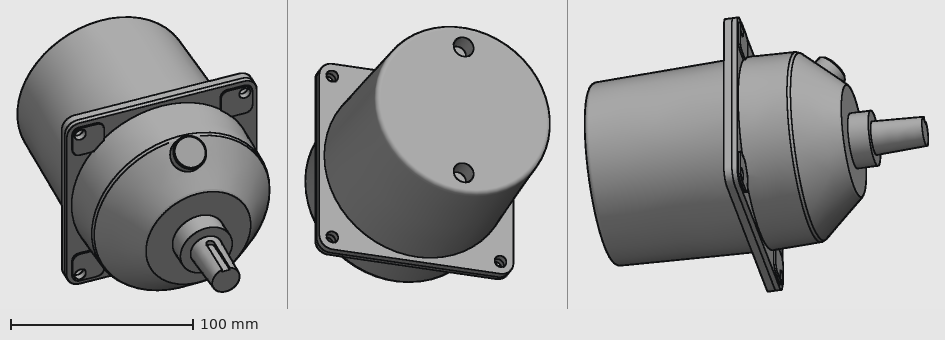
import cadquery as cq
import math

flange_back = 80.1
seam = 84.6
flange_front = 87.5
barrel_end = 114.7
cone_start = 116.5
cone_end = 139.5
nose_face = 140.4
collar_end = 152.0
shaft_end = 180.5

back_radius = 50.7
flange_body_radius = 53.5
barrel_end_radius = 52.7
cone_start_radius = 52.0
cone_end_radius = 32.1
nose_radius = 31.0
collar_radius = 15.3
shaft_root_radius = 9.4
shaft_tip_radius = 8.1
back_fillet = 2.7

flange_size = 112.4
flange_corner = 7.5
bolt_offset = 48.7
bolt_diameter = 6.7

pad_inner = 34.6
pad_outer = 53.2
pad_height = 1.0
pad_corner = 4.3

back_hole_offset = 38.0
back_hole_radius = 5.8
back_hole_floor_radius = 5.0
back_hole_depth = 10.8

plug_radius = 9.4
plug_chamfer = 0.7
plug_top_x = 128.5
plug_top_z = 51.2
plug_length = 10.8
cone_angle = math.atan2(cone_start_radius - cone_end_radius, cone_end - cone_start)

key_start = 155.7
key_width = 4.5
key_floor = 6.5


def revolve_about_x(profile):
    """Revolve a list of (x, radius) points into a solid."""
    return cq.Workplane("XY").polyline(profile).close().revolve(360, (0, 0, 0), (1, 0, 0))


def flange(x_start, x_end):
    """Rounded square plate across the shaft axis."""
    plate = cq.Workplane("YZ", origin=(x_start, 0, 0)).rect(flange_size, flange_size)
    return plate.extrude(x_end - x_start).edges("|X").fillet(flange_corner)


def drill_bolt_holes(body):
    """Drill the four corner holes along X, right through the body's flange and pads."""
    spacing = 2 * bolt_offset
    drills = (
        cq.Workplane("YZ", origin=(flange_back, 0, 0))
        .rect(spacing, spacing, forConstruction=True)
        .vertices()
        .circle(bolt_diameter / 2)
        .extrude(flange_front + pad_height - flange_back)
    )
    return body.cut(drills)


def corner_pads():
    """Four low rounded pads around the bolt holes."""
    size = pad_outer - pad_inner
    spacing = pad_outer + pad_inner
    return (
        cq.Workplane("YZ", origin=(flange_front, 0, 0))
        .rect(spacing, spacing, forConstruction=True)
        .vertices()
        .rect(size, size)
        .extrude(pad_height)
        .edges("|X")
        .fillet(pad_corner)
    )


def plug():
    """Cylindrical plug whose lower end sinks into the cone."""
    axis = cq.Vector(math.sin(cone_angle), 0, math.cos(cone_angle))
    base = cq.Vector(plug_top_x, 0, plug_top_z) - axis * plug_length
    plane = cq.Plane(origin=base, xDir=(0, 1, 0), normal=axis)
    cylinder = cq.Workplane(plane).circle(plug_radius).extrude(plug_length)
    top_face = cq.selectors.DirectionMinMaxSelector(axis)
    return cylinder.faces(top_face).chamfer(plug_chamfer)


def keyway():
    """Slot cutter with a round inner end, open at the shaft tip."""
    radius = key_width / 2
    slot = (
        cq.Workplane("XY", origin=(0, 0, key_floor))
        .moveTo(shaft_end, -radius)
        .lineTo(key_start + radius, -radius)
        .threePointArc((key_start, 0), (key_start + radius, radius))
        .lineTo(shaft_end, radius)
        .close()
    )
    return slot.extrude(shaft_root_radius - key_floor)


def back_hole(z):
    """Tapered cutter for a blind hole in the back face."""
    cone = cq.Solid.makeCone(
        back_hole_radius,
        back_hole_floor_radius,
        back_hole_depth,
        pnt=cq.Vector(0, 0, z),
        dir=cq.Vector(1, 0, 0),
    )
    return cq.Workplane(cone)


def make_rear_cover():
    """Tapered cover with its half of the flange."""
    cover = revolve_about_x([(0, 0), (0, back_radius), (seam, flange_body_radius), (seam, 0)])
    cover = cover.faces("<X").edges().fillet(back_fillet)
    cover = cover.union(flange(flange_back, seam))
    for z in (-back_hole_offset, back_hole_offset):
        cover = cover.cut(back_hole(z))
    return drill_bolt_holes(cover)


def make_front_housing():
    """Barrel, cone, collar and shaft with the other half of the flange."""
    housing = revolve_about_x(
        [
            (seam, 0),
            (seam, flange_body_radius),
            (barrel_end, barrel_end_radius),
            (cone_start, cone_start_radius),
            (cone_end, cone_end_radius),
            (nose_face, nose_radius),
            (nose_face, collar_radius),
            (collar_end, collar_radius),
            (collar_end, shaft_root_radius),
            (shaft_end, shaft_tip_radius),
            (shaft_end, 0),
        ]
    )
    housing = housing.union(flange(seam, flange_front)).union(corner_pads())
    housing = housing.union(plug()).cut(keyway())
    return drill_bolt_holes(housing)


rear_cover = make_rear_cover()
front_housing = make_front_housing()

result = cq.Compound.makeCompound([rear_cover.val(), front_housing.val()])